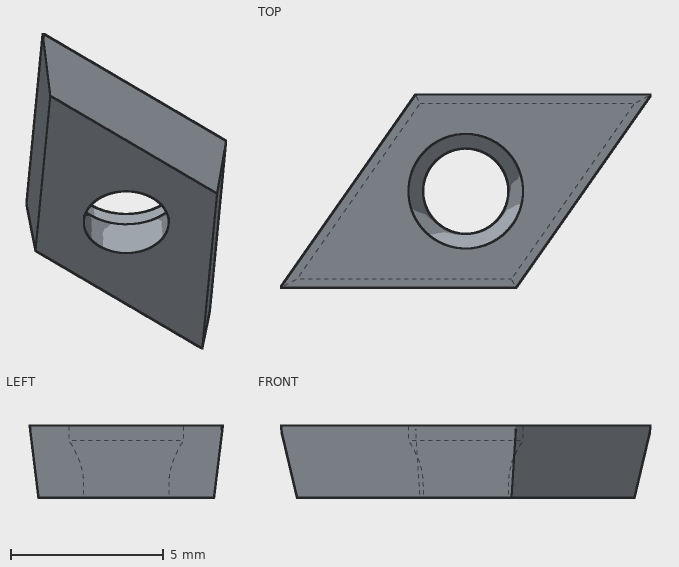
import cadquery as cq
import math

inscribed_circle = 6.35
thickness = 2.38
acute_angle = 55
clearance_angle = 7
corner_radius = 0.032

mouth_diameter = 3.76
bore_diameter = 2.79
mouth_depth = 0.5
seat_radius = 2.5


def rhombus(width):
    """Corner points of the insert outline with the given distance between opposite sides."""
    angle = math.radians(acute_angle)
    side = width / math.sin(angle)
    slant = side * math.cos(angle)
    acute_x = (side + slant) / 2
    obtuse_x = (side - slant) / 2
    return [
        (-acute_x, -width / 2),
        (obtuse_x, -width / 2),
        (acute_x, width / 2),
        (-obtuse_x, width / 2),
    ]


def make_body():
    """Inward-tapering body whose conical corner rounds run out to sharp edges just below the top."""
    runout_depth = corner_radius / math.tan(math.radians(clearance_angle))
    runout_outline = (
        cq.Workplane("XY", origin=(0, 0, -runout_depth))
        .polyline(rhombus(inscribed_circle - 2 * corner_radius))
        .close()
    )
    upper = runout_outline.extrude(runout_depth, taper=-clearance_angle)
    lower = upper.faces("<Z").wires().toPending().workplane()
    lower = lower.extrude(thickness - runout_depth, taper=clearance_angle, combine=False)
    return lower.union(upper).clean()


def make_hole():
    """Revolved cutter whose seat arc runs tangentially into the bore."""
    mouth_radius = mouth_diameter / 2
    bore_radius = bore_diameter / 2
    step = mouth_radius - bore_radius
    seat_depth = math.sqrt(seat_radius**2 - (seat_radius - step) ** 2)
    bore_start = -mouth_depth - seat_depth
    half_angle = math.acos((seat_radius - step) / seat_radius) / 2
    seat_middle = (
        bore_radius + seat_radius * (1 - math.cos(half_angle)),
        bore_start + seat_radius * math.sin(half_angle),
    )
    return (
        cq.Workplane("XZ")
        .lineTo(mouth_radius, 0)
        .lineTo(mouth_radius, -mouth_depth)
        .threePointArc(seat_middle, (bore_radius, bore_start))
        .lineTo(bore_radius, -thickness)
        .lineTo(0, -thickness)
        .close()
        .revolve(360, (0, 0, 0), (0, 1, 0))
    )


result = make_body().cut(make_hole())